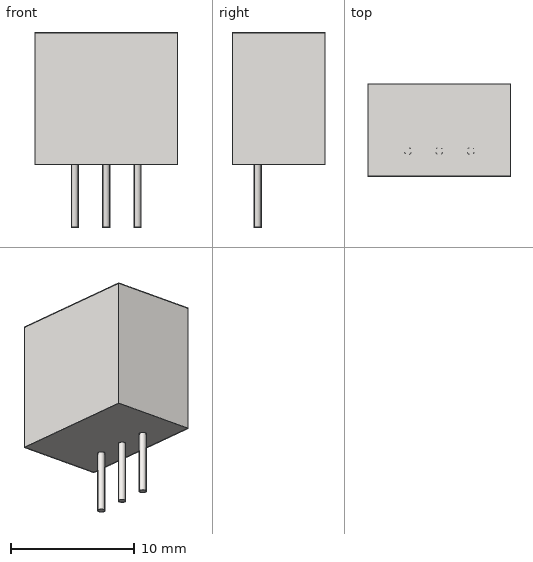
import cadquery as cq

total_height = 15.8
housing_length = 11.6
housing_width = 7.5

pin_count = 3
pin_diameter = 0.58
pin_pitch = 2.55
pin_length = 5.1
pin_row_y = -1.7

housing_height = total_height - pin_length


def make_housing():
    """Plain block standing on the XY plane, centred on the Z axis."""
    return cq.Workplane("XY").box(
        housing_length, housing_width, housing_height, centered=(True, True, False)
    )


def make_pin(x):
    """Round pin that hangs from the underside of the housing."""
    return cq.Workplane("XY").center(x, pin_row_y).circle(pin_diameter / 2).extrude(-pin_length)


housing = make_housing()

first_pin_x = -pin_pitch * (pin_count - 1) / 2
pins = [make_pin(first_pin_x + index * pin_pitch) for index in range(pin_count)]

result = cq.Compound.makeCompound([housing.val(), *[pin.val() for pin in pins]])